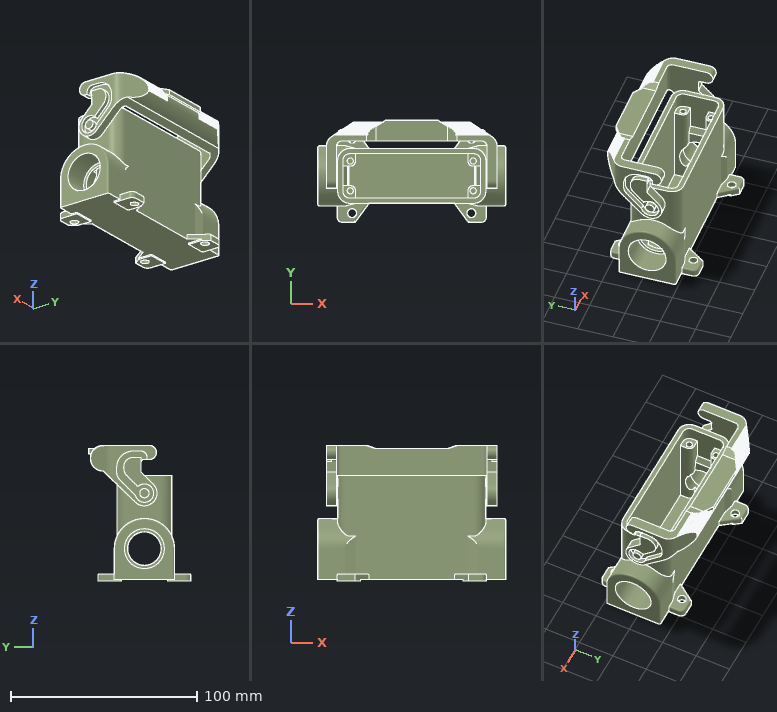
import cadquery as cq
import math


BODY_HALF_X = 39.8
BODY_HALF_Y = 14.75
BODY_HEIGHT = 56.1
BODY_CORNER_R = 6.6
WALL = 2.8
CAVITY_HALF_X = BODY_HALF_X - WALL
CAVITY_HALF_Y = BODY_HALF_Y - WALL

ENTRY_END_X = 50.5
ENTRY_HALF_Y = 16.2
ENTRY_AXIS_Z = 16.7
ENTRY_TAPER_START_X = 35.7
ENTRY_TAPER_END_X = 30.2
ENTRY_END_FILLET = 1.0
ENTRY_BORE_D = 21.4
ENTRY_BORE_DEPTH = 14.2
ENTRY_HOLE_D = 17.9

LEDGE_BOTTOM_X = 33.8
LEDGE_TOP_X = 34.6
LEDGE_TOP_Z = 31.0
LEDGE_RAMP_HEIGHT = 3.0

SCREW_X = 33.0
SCREW_Y = 8.0
SCREW_HOLE_D = 3.3
SCREW_HOLE_DEPTH = 12.0
POST_R = 2.8
POST_TOP_Z = 47.2

FOOT_OUTER_X = 40.1
FOOT_END_Y = 25.0
FOOT_END_INNER_X = 30.4
FOOT_ROOT_Y = 12.4
FOOT_ROOT_X = 21.2
FOOT_CORNER_R = 3.0
FOOT_TOP_Z = 3.2
FOOT_TOP_FILLET = 1.0
FOOT_PAD_INNER_X = 27.5
FOOT_PAD_DROP = 0.8
FOOT_HOLE_X = 32.0
FOOT_HOLE_Y = 20.0
FOOT_HOLE_D = 4.6

LATCH_TOP_Z = 72.2
LATCH_HALF_X = 45.9
ARM_INNER_X = 40.3
PIVOT_Z = 46.5
PIVOT_ARM_R = 6.75
PIVOT_BOSS_R = 3.4
HOOK_TIP_Y = -6.5
HOOK_R = 3.85
HOOK_BOTTOM_Z = LATCH_TOP_Z - 2 * HOOK_R
NOTCH_Y = 1.7
NOTCH_R = 1.2
HANDLE_R = 6.95
HANDLE_Y = 22.1
HANDLE_Z = LATCH_TOP_Z - HANDLE_R
HANDLE_BACK_Y = HANDLE_Y + HANDLE_R
HANDLE_FRONT_Y = 18.7
HANDLE_INNER_R = 2.7
HANDLE_OUTER_R = 6.4
HANDLE_BACK_HALF_X = 31.0
HANDLE_END_ANGLE = 33.3

DIP_DEPTH = 1.7
DIP_HALF_BOTTOM = 19.3
DIP_HALF_TOP = 24.2
LIP_Z = LATCH_TOP_Z - DIP_DEPTH
LIP_THICKNESS = 2.9
LIP_BACK_Y = 30.0
LIP_BACK_HALF_X = 14.0
GRIP_GROOVE_COUNT = 13
GRIP_PITCH_ANGLE = 8.2
GRIP_INNER_X = 14.5
GRIP_GROOVE_R = 0.2

CHANNEL_DEPTH = 2.8
CHANNEL_TOP_Z = 69.1
CHANNEL_BACK_Y = 14.9
CHANNEL_FRONT_Y = -1.4
CHANNEL_FRONT_R = 3.3
CHANNEL_TOP_R = 8.8
CHANNEL_BEND_R = 6.0
CHANNEL_EDGE_OFFSET = 4.3
PIVOT_RECESS_R = 4.95
PIVOT_PIN_R = 2.5
ISLAND_TOP_Z = 65.7
ISLAND_BACK_Y = 11.1
ISLAND_BACK_R = 5.1

CLEAR = 1.0
ROOT2 = math.sqrt(2)
MIN_LINE = 1e-6


def rounded_outline(plane, corners):
    """Closed wire through (u, v, radius) corners, each rounded by a tangent arc."""
    path = None
    count = len(corners)
    for i in range(count):
        u, v, radius = corners[i]
        corner = cq.Vector(u, v, 0)
        before = (cq.Vector(*corners[i - 1][:2], 0) - corner).normalized()
        after = (cq.Vector(*corners[(i + 1) % count][:2], 0) - corner).normalized()
        half_angle = before.getAngle(after) / 2
        reach = radius / math.tan(half_angle)
        start = corner + before * reach
        end = corner + after * reach
        bisector = (before + after).normalized()
        middle = corner + bisector * (radius / math.sin(half_angle) - radius)
        if path is None:
            path = cq.Workplane(plane).moveTo(start.x, start.y)
            pen = start
        if (start - pen).Length > MIN_LINE:
            path = path.lineTo(start.x, start.y)
        if radius > 0:
            path = path.threePointArc((middle.x, middle.y), (end.x, end.y))
        pen = end
    return path.close()


def centered_box(half_x, half_y, bottom_z, top_z):
    box = cq.Workplane("XY").workplane(offset=bottom_z).rect(2 * half_x, 2 * half_y)
    return box.extrude(top_z - bottom_z)


def cylinder_x(radius, y, z, start_x, end_x):
    section = cq.Workplane("YZ").workplane(offset=start_x).center(y, z)
    return section.circle(radius).extrude(end_x - start_x)


def mirrored_x(shape):
    return shape.union(shape.mirror("YZ"))


def four_corners(shape):
    pair = mirrored_x(shape)
    return pair.union(pair.mirror("XZ"))


def entry_block():
    """Arch-shaped cable entry that tapers in plan into the housing wall."""
    arch_top_z = ENTRY_AXIS_Z + ENTRY_HALF_Y
    arch = rounded_outline("YZ", [
        (-ENTRY_HALF_Y, 0, 0),
        (ENTRY_HALF_Y, 0, 0),
        (ENTRY_HALF_Y, arch_top_z, ENTRY_HALF_Y),
        (-ENTRY_HALF_Y, arch_top_z, ENTRY_HALF_Y),
    ]).extrude(ENTRY_END_X)
    arch = arch.faces(">X").edges("not(<Z)").fillet(ENTRY_END_FILLET)
    plan = cq.Workplane("XY").polyline([
        (ENTRY_TAPER_END_X, -BODY_HALF_Y),
        (ENTRY_TAPER_START_X, -ENTRY_HALF_Y),
        (ENTRY_END_X, -ENTRY_HALF_Y),
        (ENTRY_END_X, ENTRY_HALF_Y),
        (ENTRY_TAPER_START_X, ENTRY_HALF_Y),
        (ENTRY_TAPER_END_X, BODY_HALF_Y),
    ]).close().extrude(arch_top_z)
    return arch.intersect(plan)


def end_wall_ledge():
    """Extra thickness low on the end wall, closed on top by a sloping ramp."""
    return cq.Workplane("XZ").polyline([
        (CAVITY_HALF_X, WALL),
        (LEDGE_BOTTOM_X, WALL),
        (LEDGE_TOP_X, LEDGE_TOP_Z),
        (CAVITY_HALF_X, LEDGE_TOP_Z + LEDGE_RAMP_HEIGHT),
    ]).close().extrude(CAVITY_HALF_Y, both=True)


def screw_post():
    inner_x = SCREW_X - POST_R
    inner_y = SCREW_Y - POST_R
    post = rounded_outline("XY", [
        (inner_x, inner_y, POST_R),
        (BODY_HALF_X, inner_y, 0),
        (BODY_HALF_X, BODY_HALF_Y, 0),
        (inner_x, BODY_HALF_Y, 0),
    ]).extrude(POST_TOP_Z)
    hole = cq.Workplane("XY").workplane(offset=POST_TOP_Z).center(SCREW_X, SCREW_Y)
    return post.cut(hole.circle(SCREW_HOLE_D / 2).extrude(-SCREW_HOLE_DEPTH))


def foot():
    """Mounting foot with a slanted inner edge and a shallow pad underneath."""
    outline = [
        (FOOT_ROOT_X, FOOT_ROOT_Y, 0),
        (FOOT_OUTER_X, FOOT_ROOT_Y, 0),
        (FOOT_OUTER_X, FOOT_END_Y, FOOT_CORNER_R),
        (FOOT_END_INNER_X, FOOT_END_Y, 0),
    ]
    plate = rounded_outline("XY", outline).extrude(FOOT_TOP_Z)
    plate = plate.faces(">Z").edges().fillet(FOOT_TOP_FILLET)
    pad = rounded_outline("XY", outline).extrude(-FOOT_PAD_DROP)
    pad = pad.cut(centered_box(FOOT_PAD_INNER_X, FOOT_END_Y, -FOOT_PAD_DROP, 0))
    hole = cq.Workplane("XY").workplane(offset=-FOOT_PAD_DROP).center(FOOT_HOLE_X, FOOT_HOLE_Y)
    return plate.union(pad).cut(hole.circle(FOOT_HOLE_D / 2).extrude(FOOT_PAD_DROP + FOOT_TOP_Z))


def housing():
    outer = centered_box(BODY_HALF_X, BODY_HALF_Y, 0, BODY_HEIGHT)
    outer = outer.edges("|Z").fillet(BODY_CORNER_R)
    cavity = centered_box(CAVITY_HALF_X, CAVITY_HALF_Y, WALL, BODY_HEIGHT)
    cavity = cavity.edges("|Z").fillet(BODY_CORNER_R - WALL)
    inserts = four_corners(screw_post()).union(mirrored_x(end_wall_ledge()))
    shell = outer.union(mirrored_x(entry_block()))
    shell = shell.cut(cavity.cut(inserts))
    bore = cylinder_x(ENTRY_BORE_D / 2, 0, ENTRY_AXIS_Z, ENTRY_END_X - ENTRY_BORE_DEPTH, ENTRY_END_X)
    shell = shell.cut(mirrored_x(bore))
    through_hole = cylinder_x(ENTRY_HOLE_D / 2, 0, ENTRY_AXIS_Z, -ENTRY_END_X, ENTRY_END_X)
    return shell.cut(through_hole).union(four_corners(foot()))


def diagonal_z(y, offset):
    """Height at y of the 45 degree line lying `offset` below the parallel through the pivot."""
    return PIVOT_Z + y - offset * ROOT2


def latch_side_profile():
    """Hook, notch, pivot eye and rounded handle, seen along X."""
    arm = rounded_outline("YZ", [
        (HOOK_TIP_Y, LATCH_TOP_Z, HOOK_R),
        (HOOK_TIP_Y, HOOK_BOTTOM_Z, HOOK_R),
        (NOTCH_Y, HOOK_BOTTOM_Z, NOTCH_R),
        (NOTCH_Y, diagonal_z(NOTCH_Y, -PIVOT_ARM_R), 0),
        (-PIVOT_ARM_R * ROOT2, PIVOT_Z, PIVOT_ARM_R),
        (0, diagonal_z(0, PIVOT_ARM_R), PIVOT_ARM_R),
        (HANDLE_Y, HANDLE_Z - HANDLE_R, 0),
        (HANDLE_Y, LATCH_TOP_Z, 0),
    ]).extrude(LATCH_HALF_X, both=True)
    return arm.union(cylinder_x(HANDLE_R, HANDLE_Y, HANDLE_Z, -LATCH_HALF_X, LATCH_HALF_X))


def latch_plan():
    """U-shaped plan of the latch with slanted handle ends."""
    slope = math.tan(math.radians(HANDLE_END_ANGLE))
    shoulder_y = HANDLE_BACK_Y - (LATCH_HALF_X - HANDLE_BACK_HALF_X) * slope
    back_y = HANDLE_BACK_Y + CLEAR
    back_half_x = HANDLE_BACK_HALF_X - CLEAR / slope
    open_y = HOOK_TIP_Y - CLEAR
    outer = rounded_outline("XY", [
        (-LATCH_HALF_X, open_y, 0),
        (LATCH_HALF_X, open_y, 0),
        (LATCH_HALF_X, shoulder_y, HANDLE_OUTER_R),
        (back_half_x, back_y, 0),
        (-back_half_x, back_y, 0),
        (-LATCH_HALF_X, shoulder_y, HANDLE_OUTER_R),
    ]).extrude(LATCH_TOP_Z)
    inner = rounded_outline("XY", [
        (-ARM_INNER_X, open_y, 0),
        (ARM_INNER_X, open_y, 0),
        (ARM_INNER_X, HANDLE_FRONT_Y, HANDLE_INNER_R),
        (-ARM_INNER_X, HANDLE_FRONT_Y, HANDLE_INNER_R),
    ]).extrude(LATCH_TOP_Z)
    return outer.cut(inner)


def arm_channel():
    """Recess curving from the notch round to the pivot, leaving an island and a pin."""
    floor_x = LATCH_HALF_X - CHANNEL_DEPTH
    plane = cq.Plane.YZ(origin=(floor_x, 0, 0))
    edge_foot = CHANNEL_EDGE_OFFSET / ROOT2
    field = rounded_outline(plane, [
        (CHANNEL_FRONT_Y, HOOK_BOTTOM_Z - CLEAR, 0),
        (CHANNEL_FRONT_Y, CHANNEL_TOP_Z, CHANNEL_FRONT_R),
        (CHANNEL_BACK_Y, CHANNEL_TOP_Z, CHANNEL_TOP_R),
        (CHANNEL_BACK_Y, diagonal_z(CHANNEL_BACK_Y, CHANNEL_EDGE_OFFSET), CHANNEL_BEND_R),
        (edge_foot, PIVOT_Z - edge_foot, 0),
        (0, PIVOT_Z, 0),
        (0, HOOK_BOTTOM_Z - CLEAR, 0),
    ]).extrude(CHANNEL_DEPTH)
    island = rounded_outline(plane, [
        (NOTCH_Y, ISLAND_TOP_Z, 0),
        (ISLAND_BACK_Y, ISLAND_TOP_Z, ISLAND_BACK_R),
        (ISLAND_BACK_Y, diagonal_z(ISLAND_BACK_Y, 0), CHANNEL_BEND_R),
        (0, PIVOT_Z, 0),
        (-PIVOT_ARM_R, PIVOT_Z, 0),
        (-PIVOT_ARM_R, HOOK_BOTTOM_Z - CLEAR, 0),
        (NOTCH_Y, HOOK_BOTTOM_Z - CLEAR, 0),
    ]).extrude(CHANNEL_DEPTH)
    pivot_recess = cylinder_x(PIVOT_RECESS_R, 0, PIVOT_Z, floor_x, LATCH_HALF_X)
    pin = cylinder_x(PIVOT_PIN_R, 0, PIVOT_Z, floor_x, LATCH_HALF_X)
    return field.cut(island).union(pivot_recess).cut(pin)


def handle_dip():
    return cq.Workplane("XZ").workplane(offset=-LIP_BACK_Y).polyline([
        (-DIP_HALF_BOTTOM, LIP_Z),
        (DIP_HALF_BOTTOM, LIP_Z),
        (DIP_HALF_TOP, LATCH_TOP_Z),
        (-DIP_HALF_TOP, LATCH_TOP_Z),
    ]).close().extrude(LIP_BACK_Y)


def thumb_lip():
    root_half_x = LIP_BACK_HALF_X + (LIP_BACK_Y - HANDLE_Y) / math.tan(math.radians(HANDLE_END_ANGLE))
    return cq.Workplane("XY").workplane(offset=LIP_Z - LIP_THICKNESS).polyline([
        (-root_half_x, HANDLE_Y),
        (root_half_x, HANDLE_Y),
        (LIP_BACK_HALF_X, LIP_BACK_Y),
        (-LIP_BACK_HALF_X, LIP_BACK_Y),
    ]).close().extrude(LIP_THICKNESS)


def grip_grooves():
    """Fine grooves round the back of the handle, starting at its top, on both sides of the middle."""
    grooves = cq.Workplane("XY")
    for i in range(GRIP_GROOVE_COUNT):
        angle = math.radians(i * GRIP_PITCH_ANGLE)
        y = HANDLE_Y + HANDLE_R * math.sin(angle)
        z = HANDLE_Z + HANDLE_R * math.cos(angle)
        groove = cylinder_x(GRIP_GROOVE_R, y, z, GRIP_INNER_X, LATCH_HALF_X)
        grooves = grooves.add(mirrored_x(groove).vals())
    return grooves.combine()


def latch():
    body = latch_side_profile().intersect(latch_plan())
    body = body.cut(grip_grooves())
    body = body.union(thumb_lip()).cut(handle_dip())
    body = body.cut(mirrored_x(arm_channel()))
    pivot_boss = cylinder_x(PIVOT_BOSS_R, 0, PIVOT_Z, CAVITY_HALF_X + WALL / 2, ARM_INNER_X)
    return body.union(mirrored_x(pivot_boss))


result = housing().union(latch()).clean()